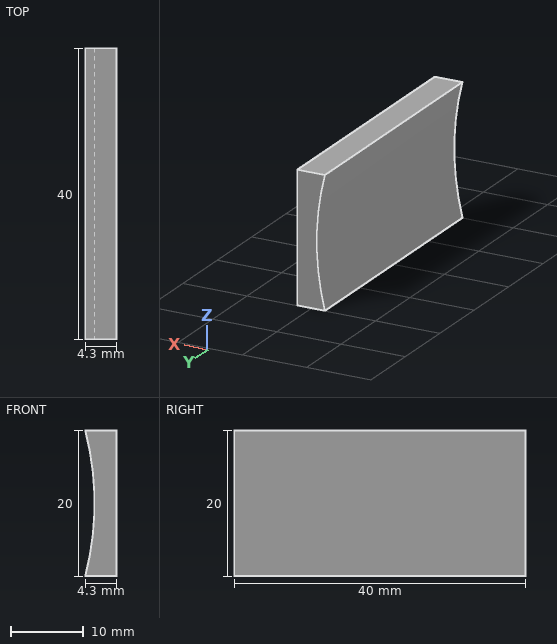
import cadquery as cq
import math

thickness = 4.3
length = 40.0
height = 20.0

hollow_radius = 40.0
half_height = height / 2
hollow_depth = hollow_radius - math.sqrt(hollow_radius**2 - half_height**2)

front_x = -thickness / 2
back_x = thickness / 2
profile = (
    cq.Workplane("XZ")
    .moveTo(back_x, -half_height)
    .lineTo(back_x, half_height)
    .lineTo(front_x, half_height)
    .threePointArc((front_x + hollow_depth, 0), (front_x, -half_height))
    .close()
)

result = profile.extrude(length / 2, both=True)